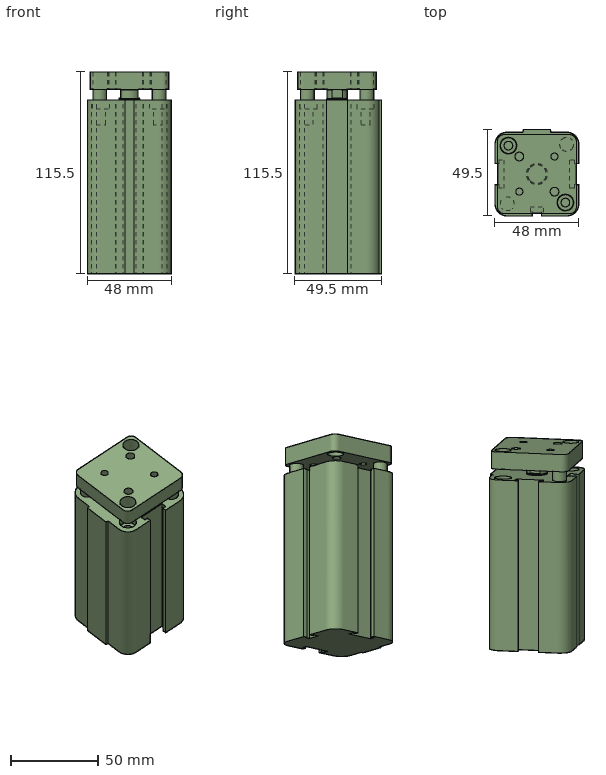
import cadquery as cq

TOTAL_HEIGHT = 115.5
PLATE_THICKNESS = 10.0
STROKE_GAP = 6.0
PLATE_BOTTOM = TOTAL_HEIGHT - PLATE_THICKNESS
HOUSING_HEIGHT = PLATE_BOTTOM - STROKE_GAP

HOUSING_WIDTH = 48.0
HOUSING_CORNER_RADIUS = 7.0
RAIL_HEIGHT = 1.5
RAIL_TOP_WIDTH = 15.6
RAIL_BASE_WIDTH = 16.0

SLOT_DEPTH = 5.3
SLOT_LIP = 2.4
SIDE_MOUTH_WIDTH = 12.0
SIDE_INNER_WIDTH = RAIL_BASE_WIDTH
FRONT_MOUTH_WIDTH = 5.1
FRONT_INNER_WIDTH = 7.3

SCREW_OFFSET = 16.3
SCREW_HEAD_DIAMETER = 9.6
SCREW_HEAD_DEPTH = 5.3
SCREW_HOLE_DIAMETER = 5.0
SCREW_HOLE_DEPTH = 14.4
PIN_OFFSET = 17.0
PIN_DIAMETER = 8.0

PLATE_WIDTH = 45.0
PLATE_CORNER_RADIUS = 3.6
ACCESS_HOLE_DIAMETER = 9.0
FIXING_OFFSET = 10.0
FIXING_HOLE_DIAMETER = 5.0
SMALL_FIXING_HOLE_DIAMETER = 4.0

ROD_DIAMETER = 12.0
ROD_HEAD_DIAMETER = 11.7
ROD_CONE_START = 0.3
ROD_HEAD_START = 0.7
ROD_FLATS_START = 1.0
ROD_ACROSS_FLATS = 10.0
ROD_CHAMFER = 0.5


def diagonal_pair(offset, rising):
    """Two opposite corners of a square; a rising pair runs from (-X, -Y) to (+X, +Y)."""
    y = offset if rising else -offset
    return [(offset, y), (-offset, -y)]


def t_slot(mouth_width, inner_width, angle):
    """Full-height T-slot cutter for the -Y face, turned about Z by the angle."""
    face_y = -HOUSING_WIDTH / 2
    mouth = cq.Workplane("XY").box(mouth_width, SLOT_DEPTH, HOUSING_HEIGHT, centered=(True, False, False))
    inner_depth = SLOT_DEPTH - SLOT_LIP
    inner = (
        cq.Workplane("XY")
        .box(inner_width, inner_depth, HOUSING_HEIGHT, centered=(True, False, False))
        .translate((0, SLOT_LIP, 0))
    )
    return mouth.union(inner).translate((0, face_y, 0)).rotate((0, 0, 0), (0, 0, 1), angle)


def sensor_rail():
    """Raised rail with sloping flanks along the +Y face."""
    base_y = HOUSING_WIDTH / 2
    top_y = base_y + RAIL_HEIGHT
    return (
        cq.Workplane("XY")
        .polyline([
            (-RAIL_BASE_WIDTH / 2, base_y),
            (RAIL_BASE_WIDTH / 2, base_y),
            (RAIL_TOP_WIDTH / 2, top_y),
            (-RAIL_TOP_WIDTH / 2, top_y),
        ])
        .close()
        .extrude(HOUSING_HEIGHT)
    )


def make_housing():
    """Slotted cylinder housing with two counterbored screw holes in its top."""
    body = (
        cq.Workplane("XY")
        .rect(HOUSING_WIDTH, HOUSING_WIDTH)
        .extrude(HOUSING_HEIGHT)
        .edges("|Z")
        .fillet(HOUSING_CORNER_RADIUS)
        .union(sensor_rail())
    )
    body = body.cut(t_slot(FRONT_MOUTH_WIDTH, FRONT_INNER_WIDTH, 0))
    for angle in (-90, 90):
        body = body.cut(t_slot(SIDE_MOUTH_WIDTH, SIDE_INNER_WIDTH, angle))
    return (
        body.faces(">Z")
        .workplane(origin=(0, 0, HOUSING_HEIGHT))
        .pushPoints(diagonal_pair(SCREW_OFFSET, rising=False))
        .cboreHole(SCREW_HOLE_DIAMETER, SCREW_HEAD_DIAMETER, SCREW_HEAD_DEPTH, SCREW_HOLE_DEPTH)
    )


def make_plate():
    """Front plate with access holes for the housing screws and four fixing holes."""
    return (
        cq.Workplane("XY", origin=(0, 0, PLATE_BOTTOM))
        .rect(PLATE_WIDTH, PLATE_WIDTH)
        .extrude(PLATE_THICKNESS)
        .edges("|Z")
        .fillet(PLATE_CORNER_RADIUS)
        .faces(">Z")
        .workplane(origin=(0, 0, TOTAL_HEIGHT))
        .pushPoints(diagonal_pair(SCREW_OFFSET, rising=False))
        .hole(ACCESS_HOLE_DIAMETER)
        .pushPoints(diagonal_pair(FIXING_OFFSET, rising=False))
        .hole(FIXING_HOLE_DIAMETER)
        .pushPoints(diagonal_pair(FIXING_OFFSET, rising=True))
        .hole(SMALL_FIXING_HOLE_DIAMETER)
    )


def make_rod():
    """Piston rod with a slightly narrowed, chamfered head and two wrench flats facing -X and +X."""
    rod = (
        cq.Workplane("XZ")
        .polyline([
            (0, 0),
            (ROD_DIAMETER / 2, 0),
            (ROD_DIAMETER / 2, ROD_CONE_START),
            (ROD_HEAD_DIAMETER / 2, ROD_HEAD_START),
            (ROD_HEAD_DIAMETER / 2, STROKE_GAP - ROD_CHAMFER),
            (ROD_HEAD_DIAMETER / 2 - ROD_CHAMFER, STROKE_GAP),
            (0, STROKE_GAP),
        ])
        .close()
        .revolve(360, (0, 0, 0), (0, 1, 0))
    )
    flats_height = STROKE_GAP - ROD_FLATS_START
    flats = (
        cq.Workplane("XY", origin=(0, 0, ROD_FLATS_START))
        .rect(ROD_DIAMETER, ROD_DIAMETER)
        .rect(ROD_ACROSS_FLATS, ROD_DIAMETER)
        .extrude(flats_height)
    )
    return rod.cut(flats).translate((0, 0, HOUSING_HEIGHT))


def make_moving_unit():
    """Plate, piston rod and guide pins that move together; they stand on the housing's top face."""
    guide_pins = (
        cq.Workplane("XY", origin=(0, 0, HOUSING_HEIGHT))
        .pushPoints(diagonal_pair(PIN_OFFSET, rising=True))
        .circle(PIN_DIAMETER / 2)
        .extrude(STROKE_GAP)
    )
    return make_plate().union(make_rod()).union(guide_pins)


housing = make_housing()
moving_unit = make_moving_unit()

result = cq.Compound.makeCompound([housing.val(), moving_unit.val()])